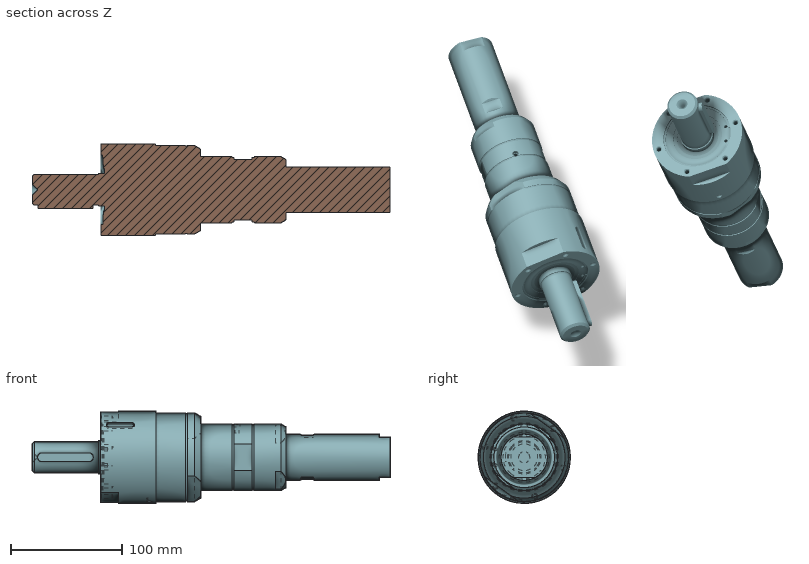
import cadquery as cq
import math

TOTAL_LENGTH = 322.0

SHAFT_DIAMETER = 28.0
SHAFT_CHAMFER = 2.0
SHAFT_EMBEDDED_LENGTH = 7.5
COLLAR_DIAMETER = 30.0
COLLAR_LENGTH = 2.0
CENTRE_HOLE_DIAMETER = 10.0
CENTRE_HOLE_CONE = 90.0

KEY_START = 5.0
KEY_LENGTH = 50.0
KEY_WIDTH = 8.0
KEY_TOP = 17.0

FLANGE_START = 61.65
FLANGE_DIAMETER = 83.0
FLANGE_LENGTH = 49.5
FLANGE_FLAT_LENGTH = 16.0
FLANGE_ACROSS_FLATS = 75.0
FLANGE_FLAT_ANGLE = 15.0

BOLT_COUNT = 6
BOLT_CIRCLE_DIAMETER = 73.0
BOLT_HOLE_DIAMETER = 4.0
BOLT_HOLE_MOUTH = 5.5
BOLT_HOLE_DEPTH = 10.0
DRILL_POINT = 118.0

RECESS_DIAMETER = 62.0
RECESS_DEPTH = 2.0
SEAL_DIAMETER = 45.0
SEAL_LIP_DIAMETER = 38.0
SEAL_STEP = 0.5
RING_THICKNESS = 0.6
RING_BORE_DIAMETER = 58.5
TOOL_HOLE_REACH = 26.0
TOOL_HOLE_SPREAD = 7.3
TOOL_HOLE_DIAMETER = 3.0
TOOL_HOLE_DEPTH = 4.0
RING_GAP = 12.4

SLOT_LENGTH = 25.0
SLOT_WIDTH = 6.0
SLOT_DEPTH = 2.0
SLOT_ANGLE = 45.0
SLOT_OFFSET = 17.7
SLOT_CENTRE = FLANGE_START + SLOT_OFFSET
RIM_HOLE_DIAMETER = 5.0
RIM_HOLE_DEPTH = 3.0
RIM_HOLE_OFFSET = 43.5
RIM_HOLE_X = FLANGE_START + RIM_HOLE_OFFSET

NUT_DIAMETER = 80.0
NUT_END = FLANGE_START + 90.0
NUT_FLAT_LENGTH = 12.1
NUT_ACROSS_FLATS = 70.0
NUT_FLAT_ANGLE = 36.0
NUT_CHAMFER_LENGTH = 5.75
NUT_GROOVE_WIDTH = 1.7
NUT_GROOVE_DIAMETER = 79.0

HOUSING_DIAMETER = 60.0
HOUSING_END = FLANGE_START + 166.7
HOUSING_FLAT_LENGTH = 9.7
HOUSING_ACROSS_FLATS = 55.0
HOUSING_CHAMFER_LENGTH = 4.8
HOUSING_FLAT_ANGLE = 41.5
GRIP_START = FLANGE_START + 118.1
GRIP_END = FLANGE_START + 137.8
GRIP_GROOVE_WIDTH = 1.9
GRIP_GROOVE_DIAMETER = 58.6
GRIP_ACROSS_FLATS = 55.0
GRIP_HOLE_DIAMETER = 5.5
GRIP_HOLE_DEPTH = 3.0
GRIP_BORE_DIAMETER = 3.6
GRIP_BORE_DEPTH = 8.0
GRIP_HOLE_X = FLANGE_START + 122.35

TAIL_DIAMETER = 41.5
TAIL_FLAT_LENGTH = 10.0
TAIL_ACROSS_FLATS = 36.0
NOTCH_CENTRE = FLANGE_START + 185.6
NOTCH_LENGTH = 10.0
NOTCH_ACROSS_FLATS = 38.0
NOTCH_ANGLE = 7.3

NOSE_ANGLE = 30.0
FLANGE_END = FLANGE_START + FLANGE_LENGTH
FLAT_CUTTER_SIZE = 50.0
CLEARANCE = 1.0


def cylinder(start, end, diameter):
    """Solid cylinder along the X axis."""
    return cq.Workplane("YZ", origin=(start, 0, 0)).circle(diameter / 2).extrude(end - start)


def groove(start, width, outer_diameter, floor_diameter):
    """Cutter for a turned groove."""
    return cylinder(start, start + width, outer_diameter + CLEARANCE).cut(
        cylinder(start, start + width, floor_diameter)
    )


def nosed_cylinder(start, end, diameter, nose_length):
    """Cylinder whose +X end tapers over nose_length."""
    radius = diameter / 2
    nose_drop = nose_length * math.tan(math.radians(NOSE_ANGLE))
    profile = [
        (start, 0),
        (start, radius),
        (end - nose_length, radius),
        (end, radius - nose_drop),
        (end, 0),
    ]
    return cq.Workplane("XY").polyline(profile).close().revolve(360, (0, 0, 0), (1, 0, 0))


def turned_about_x(body, angle):
    return body.rotate((0, 0, 0), (1, 0, 0), angle)


def flat_pair(start, end, across_flats, angle):
    """Cutter for two opposite flats; angle tilts the upper normal from +Z toward +Y."""
    length = end - start
    cutter = cq.Workplane("XY")
    for side in (1, -1):
        block = cq.Workplane("XY").box(length, 2 * FLAT_CUTTER_SIZE, FLAT_CUTTER_SIZE)
        height = side * (across_flats + FLAT_CUTTER_SIZE) / 2
        cutter = cutter.add(block.translate((start + length / 2, 0, height)))
    return turned_about_x(cutter.combine(), -angle)


def radial_cutter(outline, radius, depth, angle):
    """Extrude an XY outline inward from just outside radius; angle tilts +Z toward +Y."""
    return turned_about_x(outline.extrude(depth + CLEARANCE).translate((0, 0, radius - depth)), -angle)


def input_shaft():
    shaft_end = FLANGE_START + SHAFT_EMBEDDED_LENGTH
    shaft = cylinder(0, shaft_end, SHAFT_DIAMETER).faces("<X").chamfer(SHAFT_CHAMFER)
    collar = cylinder(FLANGE_START - COLLAR_LENGTH, shaft_end, COLLAR_DIAMETER)
    key = (
        cq.Workplane("XZ")
        .center(KEY_START + KEY_LENGTH / 2, 0)
        .slot2D(KEY_LENGTH, KEY_WIDTH)
        .extrude(KEY_TOP)
    )
    return shaft.union(collar).union(key)


def drilled_point(diameter, point_angle, x, y=0.0, z=0.0):
    """Cone that closes a drilled hole, pointing toward +X."""
    height = diameter / 2 / math.tan(math.radians(point_angle / 2))
    return cq.Workplane(cq.Solid.makeCone(diameter / 2, 0, height, cq.Vector(x, y, z), cq.Vector(1, 0, 0)))


def bolt_hole():
    """Countersunk blind hole on the +Z side of the flange face."""
    height = BOLT_CIRCLE_DIAMETER / 2
    mouth_depth = (BOLT_HOLE_MOUTH - BOLT_HOLE_DIAMETER) / 2
    bore_end = FLANGE_START + BOLT_HOLE_DEPTH
    bore = cylinder(FLANGE_START, bore_end, BOLT_HOLE_DIAMETER).translate((0, 0, height))
    mouth = cq.Workplane(
        cq.Solid.makeCone(
            BOLT_HOLE_MOUTH / 2,
            BOLT_HOLE_DIAMETER / 2,
            mouth_depth,
            cq.Vector(FLANGE_START, 0, height),
            cq.Vector(1, 0, 0),
        )
    )
    return bore.union(mouth).union(drilled_point(BOLT_HOLE_DIAMETER, DRILL_POINT, bore_end, 0, height))


def retaining_ring():
    """Flat ring against the recess wall, open toward -Y."""
    floor = FLANGE_START + RECESS_DEPTH
    front = floor - RING_THICKNESS
    ring = cylinder(front, floor, RECESS_DIAMETER).cut(cylinder(front, floor, RING_BORE_DIAMETER))
    gap = cq.Workplane("XY").box(RING_THICKNESS, RECESS_DIAMETER / 2, RING_GAP)
    return ring.cut(gap.translate((floor - RING_THICKNESS / 2, -RECESS_DIAMETER / 2, 0)))


def tool_holes():
    """Two blind holes in the recess floor beside the ends of the retaining ring."""
    floor = FLANGE_START + RECESS_DEPTH
    hole = cylinder(floor, floor + TOOL_HOLE_DEPTH, TOOL_HOLE_DIAMETER)
    hole = hole.translate((0, -TOOL_HOLE_REACH, TOOL_HOLE_SPREAD))
    return hole.union(hole.mirror("XY"))


def flange():
    body = cylinder(FLANGE_START, FLANGE_END, FLANGE_DIAMETER)
    body = body.cut(
        flat_pair(FLANGE_START, FLANGE_START + FLANGE_FLAT_LENGTH, FLANGE_ACROSS_FLATS, FLANGE_FLAT_ANGLE)
    )
    floor = FLANGE_START + RECESS_DEPTH
    body = body.cut(cylinder(FLANGE_START, floor, RECESS_DIAMETER))
    body = body.cut(cylinder(floor, floor + SEAL_STEP, SEAL_DIAMETER))
    body = body.cut(cylinder(floor + SEAL_STEP, floor + 2 * SEAL_STEP, SEAL_LIP_DIAMETER))
    for index in range(BOLT_COUNT):
        body = body.cut(turned_about_x(bolt_hole(), FLANGE_FLAT_ANGLE + index * 360 / BOLT_COUNT))
    slot = cq.Workplane("XY").center(SLOT_CENTRE, 0).slot2D(SLOT_LENGTH, SLOT_WIDTH)
    body = body.cut(radial_cutter(slot, FLANGE_DIAMETER / 2, SLOT_DEPTH, -SLOT_ANGLE))
    rim_hole = cq.Workplane("XY").center(RIM_HOLE_X, 0).circle(RIM_HOLE_DIAMETER / 2)
    body = body.cut(
        radial_cutter(rim_hole, FLANGE_DIAMETER / 2, RIM_HOLE_DEPTH, 180 + FLANGE_FLAT_ANGLE)
    )
    return body.union(retaining_ring()).cut(tool_holes())


def nut():
    body = nosed_cylinder(FLANGE_END, NUT_END, NUT_DIAMETER, NUT_CHAMFER_LENGTH)
    flat_start = NUT_END - NUT_FLAT_LENGTH
    body = body.cut(flat_pair(flat_start, NUT_END, NUT_ACROSS_FLATS, NUT_FLAT_ANGLE))
    return body.cut(
        groove(flat_start - NUT_GROOVE_WIDTH, NUT_GROOVE_WIDTH, NUT_DIAMETER, NUT_GROOVE_DIAMETER)
    )


def housing():
    body = nosed_cylinder(NUT_END, HOUSING_END, HOUSING_DIAMETER, HOUSING_CHAMFER_LENGTH)
    body = body.cut(
        flat_pair(HOUSING_END - HOUSING_FLAT_LENGTH, HOUSING_END, HOUSING_ACROSS_FLATS, HOUSING_FLAT_ANGLE)
    )
    for start in (GRIP_START, GRIP_END - GRIP_GROOVE_WIDTH):
        body = body.cut(groove(start, GRIP_GROOVE_WIDTH, HOUSING_DIAMETER, GRIP_GROOVE_DIAMETER))
    grip_flats = flat_pair(
        GRIP_START + GRIP_GROOVE_WIDTH, GRIP_END - GRIP_GROOVE_WIDTH, GRIP_ACROSS_FLATS, 90
    )
    hole = cq.Workplane("XY").center(GRIP_HOLE_X, 0).circle(GRIP_HOLE_DIAMETER / 2)
    bore = cq.Workplane("XY").center(GRIP_HOLE_X, 0).circle(GRIP_BORE_DIAMETER / 2)
    body = body.cut(grip_flats).cut(radial_cutter(hole, HOUSING_DIAMETER / 2, GRIP_HOLE_DEPTH, 0))
    return body.cut(radial_cutter(bore, HOUSING_DIAMETER / 2, GRIP_BORE_DEPTH, 0))


def tail_notches():
    """Two opposite shallow notches with 45 degree ends."""
    depth = TAIL_DIAMETER / 2 - NOTCH_ACROSS_FLATS / 2 + CLEARANCE
    half = NOTCH_LENGTH / 2
    profile = [(-half, 0), (half, 0), (half + depth, depth), (-half - depth, depth)]
    notch = (
        cq.Workplane("XZ", origin=(NOTCH_CENTRE, 0, NOTCH_ACROSS_FLATS / 2))
        .polyline(profile)
        .close()
        .extrude(TAIL_DIAMETER / 2, both=True)
    )
    return turned_about_x(notch.union(turned_about_x(notch, 180)), -NOTCH_ANGLE)


def tail():
    tube = cylinder(HOUSING_END, TOTAL_LENGTH, TAIL_DIAMETER).cut(tail_notches())
    return tube.cut(flat_pair(TOTAL_LENGTH - TAIL_FLAT_LENGTH, TOTAL_LENGTH, TAIL_ACROSS_FLATS, 0))


result = flange().union(nut()).union(housing()).union(tail()).union(input_shaft())
result = result.cut(drilled_point(CENTRE_HOLE_DIAMETER, CENTRE_HOLE_CONE, 0))